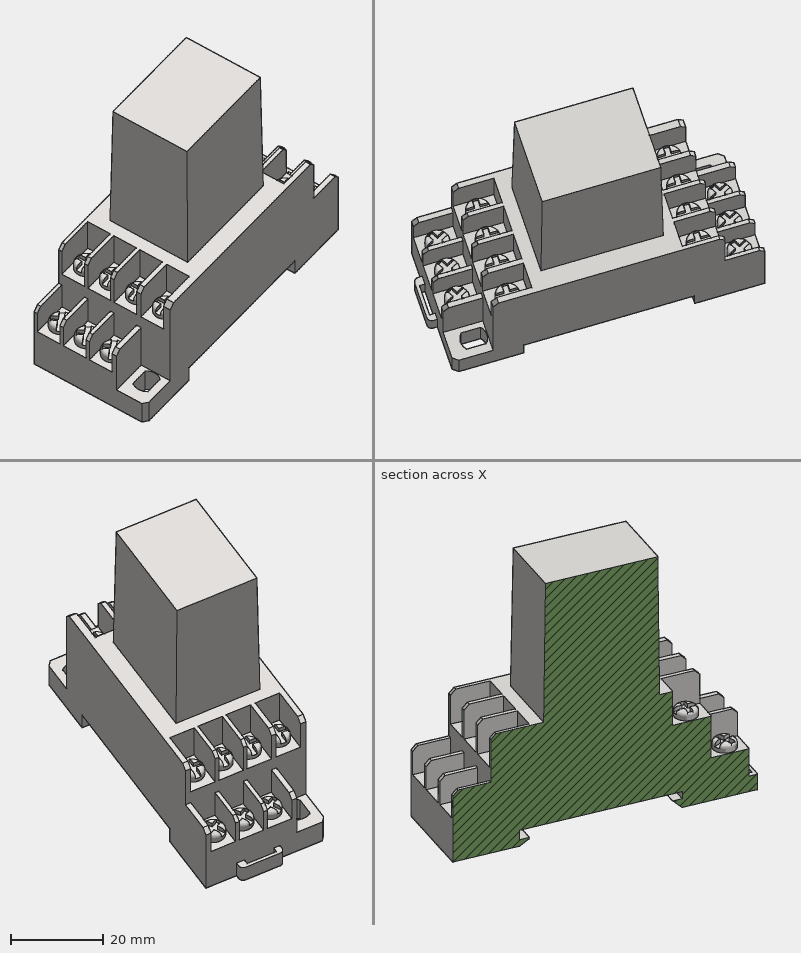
import cadquery as cq


body_width = 30.0
overall_length = 73
overall_height = 65
latch_reach = 2.05
body_length = overall_length - latch_reach
half_width = body_width / 2
half_length = body_length / 2
step_depth = 9.05
upper_top = 30.0
lower_top = 18.0
corner_chamfer = 1.25

notch_front = -19.5
notch_back = 19.4
notch_height = 4.0
tooth_reach = 2.3
back_tooth_height = 2.3
front_tooth_top = 1.75
front_tooth_tip = 1.3

relay_base = (20.9, 27.9)
relay_top = (19.9, 27.0)
relay_height = overall_height - upper_top
relay_centre_y = 0.15

pocket_width = 6.05
back_pocket_end = 18.3
front_pocket_end = 18.55
lower_count = 3
pitch = 7.0
ear_pitch = 7.2
upper_floor = 21.45
lower_floor = 10.95
back_first_x = 10.65
front_first_x = -11.1
upper_screw_inset = 13.8
lower_screw_inset = 4.5

screw_radius = 2.8
screw_rim = 1.0
screw_height = 2.1
screw_flat_radius = 1.9
slot_width = 1.3
short_slot_length = 4.7
lower_screw_turn = 28

ear_top = 6.0
back_ear_width = 7.4
front_ear_width = 7.8
ear_chamfer_x = 1.0
ear_chamfer_y = 1.25
ear_hole_x = 10.95
ear_hole_inset = 5.9
ear_hole_length = 6.0
ear_hole_width = 4.0

latch_left = -3.4
latch_right = 7.4
latch_left_leg = 1.5
latch_right_leg = 2.0
latch_bar = 0.8
latch_corner = 1.1


def block(x_span, y_span, z_span):
    """Box between pairs of X, Y and Z limits, each pair in either order."""
    x0, x1 = sorted(x_span)
    y0, y1 = sorted(y_span)
    z0, z1 = sorted(z_span)
    return cq.Workplane("XY").box(x1 - x0, y1 - y0, z1 - z0, centered=False).translate((x0, y0, z0))


def side_prism(outline, x0, x1):
    """Extrude an outline of (y, z) points from x0 to x1."""
    return cq.Workplane("YZ").polyline(outline).close().extrude(x1 - x0).translate((x0, 0, 0))


def make_body():
    """Two-step body with chamfered step corners and the rail notch."""
    upper_end = half_length - step_depth
    outline = [
        (-half_length, 0),
        (-half_length, lower_top - corner_chamfer),
        (-half_length + corner_chamfer, lower_top),
        (-upper_end, lower_top),
        (-upper_end, upper_top - corner_chamfer),
        (-upper_end + corner_chamfer, upper_top),
        (upper_end - corner_chamfer, upper_top),
        (upper_end, upper_top - corner_chamfer),
        (upper_end, lower_top),
        (half_length - corner_chamfer, lower_top),
        (half_length, lower_top - corner_chamfer),
        (half_length, 0),
        (notch_back, 0),
        (notch_back, notch_height),
        (notch_front, notch_height),
        (notch_front, 0),
    ]
    return side_prism(outline, -half_width, half_width)


def make_rail_teeth():
    """Back tooth of the latch and fixed front tooth, both as wide as the latch."""
    back = [
        (notch_back, 0),
        (notch_back, back_tooth_height),
        (notch_back - tooth_reach, back_tooth_height),
    ]
    front = [
        (notch_front, 0),
        (notch_front + tooth_reach, front_tooth_tip),
        (notch_front + tooth_reach, front_tooth_top),
        (notch_front, front_tooth_top),
    ]
    return side_prism(back, latch_left, latch_right).union(side_prism(front, latch_left, latch_right))


def make_relay():
    """Slightly tapered relay block on top of the body."""
    return (
        cq.Workplane("XY", origin=(0, relay_centre_y, upper_top))
        .rect(*relay_base)
        .workplane(offset=relay_height)
        .rect(*relay_top)
        .loft(ruled=True)
    )


def make_latch():
    """Open loop standing out of the back face."""
    loop_end = half_length + latch_reach
    loop = block((latch_left, latch_right), (half_length, loop_end), (0, notch_height))
    loop = loop.edges("|Z and >Y").fillet(latch_corner)
    opening = block(
        (latch_left + latch_left_leg, latch_right - latch_right_leg),
        (half_length, loop_end - latch_bar),
        (0, notch_height),
    )
    return loop.cut(opening)


def make_screw(turn):
    """Domed screw head with a cross slot, turned about its axis."""
    head = (
        cq.Workplane("XZ")
        .lineTo(screw_radius, 0)
        .lineTo(screw_radius, screw_rim)
        .tangentArcPoint((screw_flat_radius, screw_height), relative=False)
        .lineTo(0, screw_height)
        .close()
        .revolve(360, (0, 0, 0), (0, 1, 0))
    )
    slot_plane = cq.Workplane("XY", origin=(0, 0, screw_rim))
    long_slot = slot_plane.rect(slot_width, 2 * screw_radius).extrude(screw_height)
    short_slot = slot_plane.rect(short_slot_length, slot_width).extrude(screw_height)
    return head.cut(long_slot).cut(short_slot).rotate((0, 0, 0), (0, 0, 1), turn)


def cut_ear(body, end, width):
    """Lower one corner to an ear; end is 1 for back left, -1 for front right."""
    outer_x = -end * half_width
    outer_y = end * half_length
    ear_space = block(
        (outer_x, outer_x + end * width),
        (outer_y, outer_y - end * step_depth),
        (ear_top, upper_top),
    )
    corner = (
        cq.Workplane("XY")
        .polyline([
            (outer_x, outer_y),
            (outer_x + end * ear_chamfer_x, outer_y),
            (outer_x, outer_y - end * ear_chamfer_y),
        ])
        .close()
        .extrude(ear_top)
    )
    hole_plane = cq.Workplane("XY", origin=(-end * ear_hole_x, end * (half_length - ear_hole_inset), 0))
    hole = hole_plane.circle(ear_hole_length / 2).extrude(ear_top)
    hole = hole.intersect(hole_plane.rect(ear_hole_width, ear_hole_length).extrude(ear_top))
    return body.cut(ear_space).cut(corner).cut(hole)


def add_terminals(body, end, first_x, pocket_end):
    """Lower terminal row and an upper row with one more at one end (1 back, -1 front)."""
    lower_centres = [first_x - end * pitch * i for i in range(lower_count)]
    upper_centres = lower_centres + [lower_centres[-1] - end * ear_pitch]
    rows = [
        (upper_centres, upper_floor, upper_top, step_depth, pocket_end, upper_screw_inset, 0),
        (lower_centres, lower_floor, lower_top, 0, step_depth, lower_screw_inset, lower_screw_turn),
    ]
    for centres, floor, top, outer_inset, inner_inset, screw_inset, turn in rows:
        screw = make_screw(turn)
        for x in centres:
            pocket = block(
                (x - pocket_width / 2, x + pocket_width / 2),
                (end * (half_length - outer_inset), end * (half_length - inner_inset)),
                (floor, top),
            )
            body = body.cut(pocket)
            body = body.union(screw.translate((x, end * (half_length - screw_inset), floor)))
    return body


result = make_body()
result = cut_ear(result, 1, back_ear_width)
result = cut_ear(result, -1, front_ear_width)
result = add_terminals(result, 1, back_first_x, back_pocket_end)
result = add_terminals(result, -1, front_first_x, front_pocket_end)
result = result.union(make_rail_teeth()).union(make_relay()).union(make_latch())